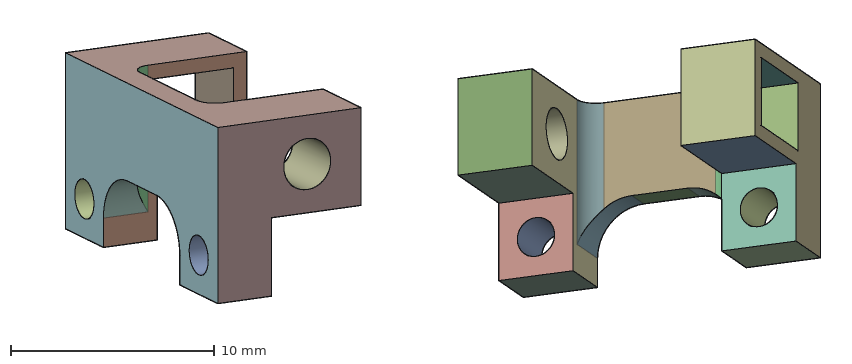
import cadquery as cq

width = 16.0
depth = 8.0
height = 9.0

plate_thickness = 3.0
arm_width = 4.0
arm_bottom = 4.0

web_thickness = 1.5
gap_corner_radius = 1.0

arch_height = 4.0
arch_radius = 2.5

mount_diameter = 2.0
mount_height = 2.0

opening_y = 5.0
opening_z = (arm_bottom + height) / 2
window_length = 4.51
window_height = 3.5
arm_hole_diameter = 2.6


def box_between(x_range, y_range, z_range):
    """Axis-aligned box spanning the given (start, end) ranges."""
    ranges = (x_range, y_range, z_range)
    sizes = [end - start for start, end in ranges]
    corner = tuple(start for start, _ in ranges)
    return cq.Workplane("XY").box(*sizes, centered=False).translate(corner)


def make_body():
    """L-shaped profile across the full width."""
    plate = box_between((0, width), (0, plate_thickness), (0, height))
    upper_block = box_between((0, width), (0, depth), (arm_bottom, height))
    return plate.union(upper_block)


def make_gap():
    """Vertical opening between the arms, rounded at its inner corners."""
    gap = box_between((arm_width, width - arm_width), (web_thickness, depth), (0, height))
    return gap.edges("|Z and <Y").fillet(gap_corner_radius)


def make_arch():
    """Opening between the plate feet, rounded at its top corners."""
    arch = box_between((arm_width, width - arm_width), (0, plate_thickness), (0, arch_height))
    return arch.edges("|Y and >Z").fillet(arch_radius)


def make_mount_holes():
    """One hole centred in each foot, running along Y."""
    return (
        cq.Workplane("XZ")
        .pushPoints([(arm_width / 2, mount_height), (width - arm_width / 2, mount_height)])
        .circle(mount_diameter / 2)
        .extrude(-plate_thickness)
    )


def make_window():
    """Rectangular opening along X through the left arm."""
    return (
        cq.Workplane("YZ")
        .center(opening_y, opening_z)
        .rect(window_length, window_height)
        .extrude(arm_width)
    )


def make_arm_hole():
    """Round hole along X through the right arm."""
    return (
        cq.Workplane("YZ", origin=(width - arm_width, 0, 0))
        .center(opening_y, opening_z)
        .circle(arm_hole_diameter / 2)
        .extrude(arm_width)
    )


result = (
    make_body()
    .cut(make_gap())
    .cut(make_arch())
    .cut(make_mount_holes())
    .cut(make_window())
    .cut(make_arm_hole())
)